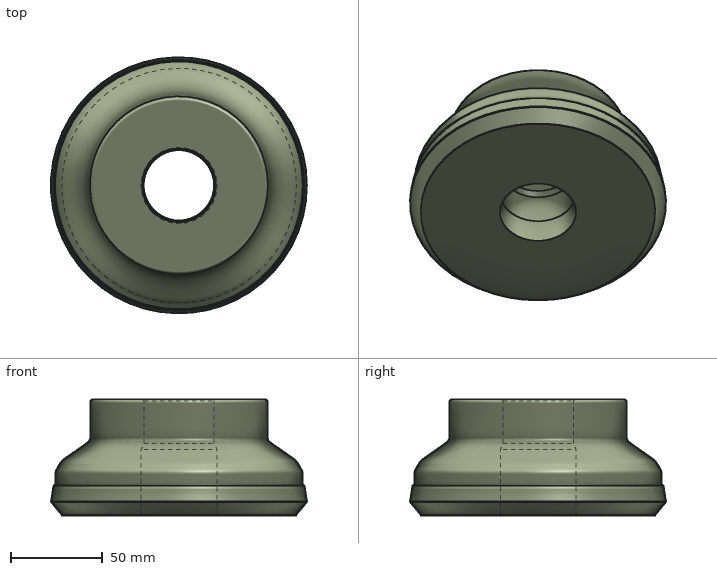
import cadquery as cq
import math

TOTAL_HEIGHT = 63.5
SPLIT_HEIGHT = 16.2

BORE_RADIUS = 19.1
BORE_CHAMFER = 1.0
FLARE_TOP_HEIGHT = 39.4
FLARE_DEPTH = 3.3
FLARE_ANGLE = 25.0
LOWER_BORE_RADIUS = BORE_RADIUS + FLARE_DEPTH * math.tan(math.radians(FLARE_ANGLE))

NECK_RADIUS = 48.4
NECK_TOP_ROUND = 2.1
NECK_ROOT_FILLET = 3.1
SHOULDER_TILT = 55.0
SHOULDER_ROUND = 9.5
BEVEL_TILT = 30.0
BEVEL_HEIGHT = 3.0
BEVEL_ROUND = 5.0
SKIRT_RADIUS = 67.4
SKIRT_TOP_HEIGHT = 22.6
LIP_FILLET = 0.8
LIP_THICKNESS = 0.3

RIM_RADIUS = 69.8
RIM_HEIGHT = 7.8
EDGE_FACET_HEIGHT = 7.3
EDGE_FACET_TILT = -20.0
UNDERCUT_TILT = -40.0
LAND_HEIGHT = 0.4
RING_BANDS = [
    (9.0, 9.6),
    (10.2, 9.8),
    (11.9, 9.2),
    (13.5, 7.7),
    (14.8, 6.7),
    (15.2, 20.0),
    (SPLIT_HEIGHT, 11.4),
]


def on_circle(center, radius, tilt):
    """Point of a profile circle where its outward normal has the given tilt."""
    angle = math.radians(tilt)
    return (center[0] + radius * math.cos(angle), center[1] + radius * math.sin(angle))


def up_the_slope(point, height, tilt):
    """Point at the given height on the straight face of this tilt that passes through a point."""
    return (point[0] - (height - point[1]) * math.tan(math.radians(tilt)), height)


def arc(sketch, center, radius, start_tilt, end_tilt):
    """Add an arc that begins at the sketch's current point."""
    middle = on_circle(center, radius, (start_tilt + end_tilt) / 2)
    return sketch.threePointArc(middle, on_circle(center, radius, end_tilt))


def revolved(sketch):
    return sketch.close().revolve(360, (0, 0, 0), (0, 1, 0))


def make_housing():
    lip_top = SPLIT_HEIGHT + LIP_THICKNESS
    lip_center = (SKIRT_RADIUS + LIP_FILLET, lip_top + LIP_FILLET)
    bevel_center = (SKIRT_RADIUS - BEVEL_ROUND, SKIRT_TOP_HEIGHT)
    bevel_bottom = on_circle(bevel_center, BEVEL_ROUND, BEVEL_TILT)
    bevel_top = up_the_slope(bevel_bottom, bevel_bottom[1] + BEVEL_HEIGHT, BEVEL_TILT)
    shoulder_center = on_circle(bevel_top, -SHOULDER_ROUND, BEVEL_TILT)
    shoulder_bottom = on_circle(shoulder_center, SHOULDER_ROUND, SHOULDER_TILT)

    root_x = NECK_RADIUS + NECK_ROOT_FILLET
    root_contact_x = root_x - NECK_ROOT_FILLET * math.cos(math.radians(SHOULDER_TILT))
    shoulder_rise = (shoulder_bottom[0] - root_contact_x) / math.tan(math.radians(SHOULDER_TILT))
    shoulder_top = (root_contact_x, shoulder_bottom[1] + shoulder_rise)
    root_center = on_circle(shoulder_top, NECK_ROOT_FILLET, SHOULDER_TILT)
    neck_top_center = (NECK_RADIUS - NECK_TOP_ROUND, TOTAL_HEIGHT - NECK_TOP_ROUND)

    sketch = (
        cq.Workplane("XZ")
        .moveTo(LOWER_BORE_RADIUS, SPLIT_HEIGHT)
        .lineTo(lip_center[0], SPLIT_HEIGHT)
        .lineTo(lip_center[0], lip_top)
    )
    sketch = arc(sketch, lip_center, LIP_FILLET, 270, 180)
    sketch = sketch.lineTo(SKIRT_RADIUS, SKIRT_TOP_HEIGHT)
    sketch = arc(sketch, bevel_center, BEVEL_ROUND, 0, BEVEL_TILT)
    sketch = sketch.lineTo(*bevel_top)
    sketch = arc(sketch, shoulder_center, SHOULDER_ROUND, BEVEL_TILT, SHOULDER_TILT)
    sketch = sketch.lineTo(*shoulder_top)
    sketch = arc(sketch, root_center, NECK_ROOT_FILLET, 180 + SHOULDER_TILT, 180)
    sketch = sketch.lineTo(NECK_RADIUS, neck_top_center[1])
    sketch = arc(sketch, neck_top_center, NECK_TOP_ROUND, 0, 90)
    sketch = (
        sketch.lineTo(BORE_RADIUS + BORE_CHAMFER, TOTAL_HEIGHT)
        .lineTo(BORE_RADIUS, TOTAL_HEIGHT - BORE_CHAMFER)
        .lineTo(BORE_RADIUS, FLARE_TOP_HEIGHT)
        .lineTo(LOWER_BORE_RADIUS, FLARE_TOP_HEIGHT - FLARE_DEPTH)
    )
    return revolved(sketch)


def make_ring():
    rim = (RIM_RADIUS, RIM_HEIGHT)
    edge = up_the_slope(rim, EDGE_FACET_HEIGHT, EDGE_FACET_TILT)
    land = up_the_slope(edge, LAND_HEIGHT, UNDERCUT_TILT)
    outline = [(LOWER_BORE_RADIUS, 0), (land[0], 0), land, edge, rim]
    for height, tilt in RING_BANDS:
        outline.append(up_the_slope(outline[-1], height, tilt))
    outline.append((LOWER_BORE_RADIUS, SPLIT_HEIGHT))
    return revolved(cq.Workplane("XZ").polyline(outline))


housing = make_housing()
ring = make_ring()
result = cq.Compound.makeCompound([housing.val(), ring.val()])